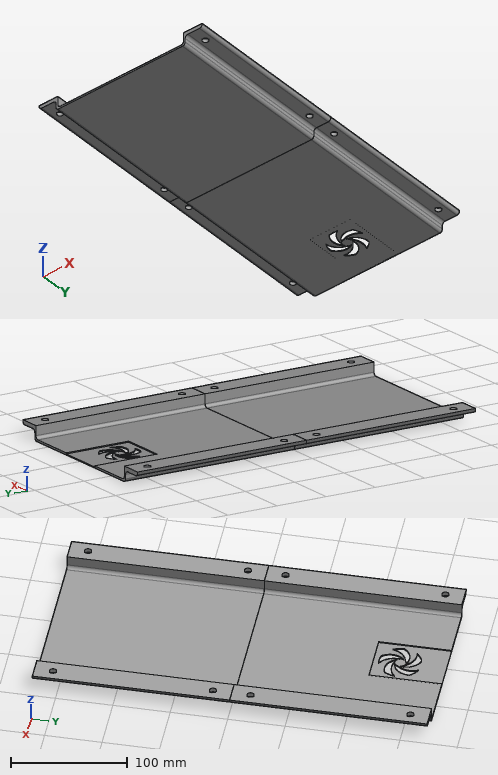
import cadquery as cq
import math

bay_width = 182.0
bay_length = 172.0
clearance = 0.1
panel_width = bay_width - 2 * clearance
panel_length = bay_length - 2 * clearance

tray_depth = 14.0
sheet = 2.0
flange_thickness = 4.0
flange_underside = tray_depth - flange_thickness
trough_inner_width = 140.0
trough_outer_width = trough_inner_width + 2 * sheet
corner_radius = 3.0

screw_hole_diameter = 6.0
screw_hole_spacing_x = 162.0
screw_hole_spacing_y = 139.2

rear_edge_y = bay_length - clearance
pocket_center_x = -0.3
pocket_width = 45.0
pocket_length = 63.5
pocket_depth = 1.0

fan_center_x = pocket_center_x
fan_center_from_rear = 40.4
fan_center_y = rear_edge_y - fan_center_from_rear
fan_hub_radius = 5.0
fan_rim_radius = 18.5
blade_count = 5
convex_edge_radius = 14.0
convex_hub_angle = 155.0
convex_rim_angle = 252.0
concave_edge_radius = 16.5
concave_hub_angle = 201.0
concave_rim_angle = 283.0


def make_block(width, center_y, bottom, height):
    """A bar as long as the panel, with its two long bottom edges rounded."""
    bar = cq.Workplane("XY", origin=(0, center_y, bottom)).box(
        width, panel_length, height, centered=(True, True, False)
    )
    return bar.faces("<Z").edges("|Y").fillet(corner_radius)


def make_panel(center_y):
    """A tray with a flange along each long side and four screw holes."""
    flanges = make_block(panel_width, center_y, flange_underside, flange_thickness)
    trough = make_block(trough_outer_width, center_y, 0, tray_depth)
    hollow = make_block(trough_inner_width, center_y, sheet, tray_depth)

    panel = flanges.union(trough)
    for side in (-1, 1):
        flange_root = (side * trough_outer_width / 2, center_y, flange_underside)
        panel = panel.edges(cq.selectors.NearestToPointSelector(flange_root)).fillet(corner_radius)

    screw_holes = (
        cq.Workplane("XY", origin=(0, center_y, flange_underside))
        .rarray(screw_hole_spacing_x, screw_hole_spacing_y, 2, 2)
        .circle(screw_hole_diameter / 2)
        .extrude(flange_thickness)
    )
    return panel.cut(hollow).cut(screw_holes)


def make_pocket():
    """Shallow recess in the top of the floor, reaching the rear edge."""
    return cq.Workplane(
        "XY", origin=(pocket_center_x, rear_edge_y - pocket_length / 2, sheet - pocket_depth)
    ).box(pocket_width, pocket_length, pocket_depth, centered=(True, True, False))


def polar_point(radius, angle):
    """Point at an angle in degrees on a circle about the origin."""
    return (radius * math.cos(math.radians(angle)), radius * math.sin(math.radians(angle)))


def make_fan_blade(turn):
    """One curved opening between the hub and rim circles, turned about the fan center."""
    convex_hub = polar_point(fan_hub_radius, convex_hub_angle)
    convex_rim = polar_point(fan_rim_radius, convex_rim_angle)
    concave_rim = polar_point(fan_rim_radius, concave_rim_angle)
    concave_hub = polar_point(fan_hub_radius, concave_hub_angle)
    blade = (
        cq.Workplane("XY")
        .moveTo(*convex_hub)
        .radiusArc(convex_rim, -convex_edge_radius)
        .radiusArc(concave_rim, -fan_rim_radius)
        .radiusArc(concave_hub, concave_edge_radius)
        .radiusArc(convex_hub, fan_hub_radius)
        .close()
        .extrude(sheet)
    )
    return blade.rotate((0, 0, 0), (0, 0, 1), turn).translate((fan_center_x, fan_center_y, 0))


front_panel = make_panel(-bay_length / 2)

rear_panel = make_panel(bay_length / 2).cut(make_pocket())
for index in range(blade_count):
    rear_panel = rear_panel.cut(make_fan_blade(index * 360 / blade_count))

result = cq.Compound.makeCompound([front_panel.val(), rear_panel.val()])